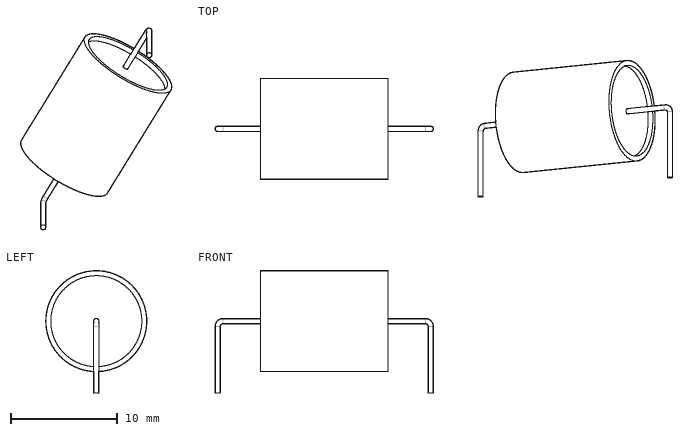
import cadquery as cq

body_length = 12.0
body_diameter = 9.5
recess_diameter = 8.55
recess_depth = 0.5

lead_diameter = 0.5
lead_pitch = 20.0
lead_bend_radius = 0.5
lead_drop = 2.0

axis_height = body_diameter / 2
recess_floor_x = body_length / 2 - recess_depth


def axial_cylinder(diameter, start_x, length):
    """Cylinder on the body axis, from start_x towards +X."""
    plane = cq.Workplane("YZ", origin=(start_x, 0, axis_height))
    return plane.circle(diameter / 2).extrude(length)


def make_body():
    """Cylinder with a shallow round recess in each end."""
    body = axial_cylinder(body_diameter, -body_length / 2, body_length)
    for start_x in (-body_length / 2, recess_floor_x):
        body = body.cut(axial_cylinder(recess_diameter, start_x, recess_depth))
    return body


def make_leads():
    """Both leads as one wire passing through the body and bent down at each end."""
    lead_x = lead_pitch / 2
    straight_x = lead_x - lead_bend_radius
    bend_bottom = axis_height - lead_bend_radius
    path = (
        cq.Workplane("XZ")
        .moveTo(-lead_x, -lead_drop)
        .lineTo(-lead_x, bend_bottom)
        .tangentArcPoint((-straight_x, axis_height), relative=False)
        .lineTo(straight_x, axis_height)
        .tangentArcPoint((lead_x, bend_bottom), relative=False)
        .lineTo(lead_x, -lead_drop)
    )
    lead_end = cq.Workplane("XY", origin=(-lead_x, 0, -lead_drop))
    return lead_end.circle(lead_diameter / 2).sweep(path)


result = make_body().union(make_leads())